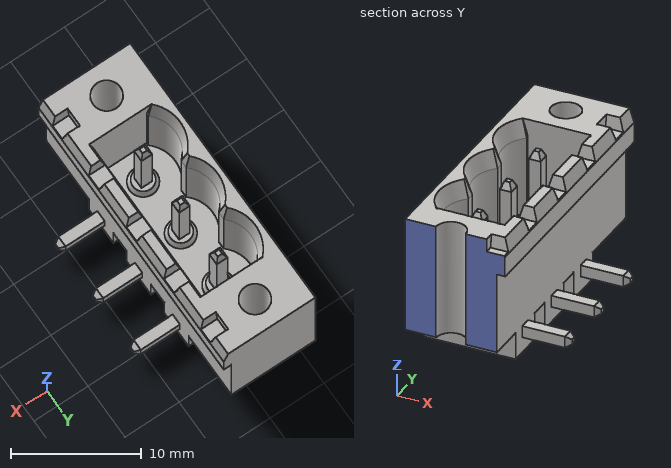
import cadquery as cq


length = 25.0
height = 12.2
body_depth = 7.8
body_bottom = 2.35

lip_depth = 8.5
lip_top_depth = 8.1
lip_bottom = 9.25
lip_slope_bottom = 11.0

pole_count = 3
pole_pitch = 5.08
pole_x = 3.9
pole_ys = [(i - (pole_count - 1) / 2) * pole_pitch for i in range(pole_count)]
foot_width = 3.3

cavity_length = 15.0
cavity_floor = 4.0
mouth_depth = 1.5
mouth_bottom = height - mouth_depth
cavity_back = 6.85
mouth_back = 7.25
scallop_radius = 2.98
scallop_mouth_radius = 3.42
rib_face = 1.9
rib_mouth_face = 1.45

pin_side = 1.0
tip_side = 0.42
pin_top = 11.3
pin_tip_length = 0.65
leg_end = 11.9
leg_tip_length = 0.48
leg_z = body_bottom - pin_side / 2
collar_diameter = 2.5
collar_top_diameter = 1.92
collar_height = 0.5

screw_y = 10.0
screw_diameter = 2.5

notch_start = 6.95
notch_floor = 11.1
pole_notch_width = 1.78
end_notch_width = 1.68
notch_side_slope = 0.2


def box(x_start, x_end, y_center, width, z_start, z_end):
    """Box between the given X and Z limits, centred on y_center."""
    return (
        cq.Workplane("XY", origin=(x_start, y_center, z_start))
        .box(x_end - x_start, width, z_end - z_start, centered=(False, True, False))
    )


def cone(y_center, bottom_radius, top_radius, z_start, z_end):
    """Upright cone frustum on the pole axis at y_center."""
    solid = cq.Solid.makeCone(
        bottom_radius, top_radius, z_end - z_start, cq.Vector(pole_x, y_center, z_start)
    )
    return cq.Workplane(solid)


def prism_along_row(points, width):
    """Prism of an XZ outline, centred on y = 0."""
    return cq.Workplane("XZ").polyline(points).close().extrude(width / 2, both=True)


def housing():
    """Shroud block with its latching lip and one foot under each pole."""
    outline = [
        (0, body_bottom),
        (body_depth, body_bottom),
        (body_depth, lip_bottom),
        (lip_depth, lip_bottom),
        (lip_depth, lip_slope_bottom),
        (lip_top_depth, height),
        (0, height),
    ]
    block = prism_along_row(outline, length)
    for y in pole_ys:
        block = block.union(box(0, body_depth, y, foot_width, 0, body_bottom))
    return block


def cavity():
    """Straight cavity and flared mouth, scalloped around each pole on the -X side."""
    outline = [
        (rib_face, cavity_floor),
        (cavity_back, cavity_floor),
        (cavity_back, mouth_bottom),
        (mouth_back, height),
        (rib_mouth_face, height),
        (rib_face, mouth_bottom),
    ]
    scallop_limit = box(0, pole_x, 0, cavity_length, cavity_floor, height)
    void = prism_along_row(outline, cavity_length)
    for y in pole_ys:
        straight = cq.Workplane("XY", origin=(pole_x, y, cavity_floor)).circle(scallop_radius)
        straight = straight.extrude(mouth_bottom - cavity_floor)
        flare = cone(y, scallop_radius, scallop_mouth_radius, mouth_bottom, height)
        void = void.union(straight.intersect(scallop_limit))
        void = void.union(flare.intersect(scallop_limit))
    return void


def notch(y_center, top_width):
    """Cutter for one notch with sloping sides, open towards +X."""
    half_top = top_width / 2
    half_floor = half_top - notch_side_slope
    outline = [
        (-half_floor, notch_floor),
        (half_floor, notch_floor),
        (half_top, height),
        (-half_top, height),
    ]
    return (
        cq.Workplane("YZ", origin=(notch_start, y_center, 0))
        .polyline(outline).close()
        .extrude(lip_depth - notch_start)
    )


def screw_hole(y_center):
    """Cutter for a hole through the full height of a flange."""
    hole = cq.Workplane("XY", origin=(pole_x, y_center, 0))
    return hole.circle(screw_diameter / 2).extrude(height)


def square_pin(start_plane, total_length, tip_length):
    """Square pin along the plane normal, tapering at its free end."""
    shaft_length = total_length - tip_length
    shaft = start_plane.rect(pin_side, pin_side).extrude(shaft_length)
    tip = (
        start_plane.workplane(offset=shaft_length)
        .rect(pin_side, pin_side)
        .workplane(offset=tip_length)
        .rect(tip_side, tip_side)
        .loft(combine=False)
    )
    return shaft.union(tip)


def contact(y_center):
    """Right-angle contact: collar, upright mating pin and horizontal solder leg."""
    collar_top = cavity_floor + collar_height
    collar = cone(y_center, collar_diameter / 2, collar_top_diameter / 2, cavity_floor, collar_top)
    upright_start = cq.Workplane("XY", origin=(pole_x, y_center, leg_z))
    leg_start = cq.Workplane("YZ", origin=(pole_x, y_center, leg_z))
    upright = square_pin(upright_start, pin_top - leg_z, pin_tip_length)
    leg = square_pin(leg_start, leg_end - pole_x, leg_tip_length)
    return collar.union(upright).union(leg)


result = housing().cut(cavity())
for y in pole_ys:
    result = result.cut(notch(y, pole_notch_width))
    result = result.union(contact(y))
for y in (-screw_y, screw_y):
    result = result.cut(notch(y, end_notch_width))
    result = result.cut(screw_hole(y))